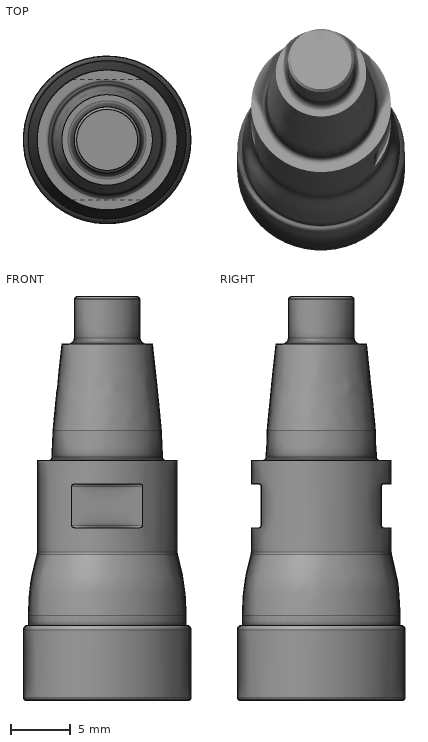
import cadquery as cq
import math

total_height = 33.8

cap_radius = 7.015
cap_height = 6.3
cap_top_round = 0.37
cap_bottom_round = 0.25

skirt_radius = 13.2 / 2
skirt_top_z = 7.1
dome_top_z = 12.2

barrel_radius = 11.7 / 2
barrel_bottom_z = 12.4
barrel_top_z = 20.08
dome_top_radius = barrel_radius + 0.05

neck_root_radius = 4.63
neck_root_fillet = 0.27
neck_break_radius = 4.53
neck_break_z = 22.58
neck_top_radius = 3.8
neck_top_z = 29.8
neck_bulge = 0.02

pin_radius = 5.5 / 2
pin_root_fillet = 0.5
pin_chamfer = 0.2

flat_distance = 5.05
flat_bottom_z = 14.43
flat_top_z = 18.1
flat_corner_fillet = 0.2

QUARTER_COS = math.cos(math.pi / 4)


def concave_fillet(profile, wall_radius, floor_z, fillet):
    """Round the inner corner from a floor at floor_z up to a wall of wall_radius."""
    inset = fillet * (1 - QUARTER_COS)
    return (
        profile.lineTo(wall_radius + fillet, floor_z)
        .threePointArc((wall_radius + inset, floor_z + inset), (wall_radius, floor_z + fillet))
    )


def make_cap():
    """Plain round cap with rounded rims."""
    cap = cq.Workplane("XY").circle(cap_radius).extrude(cap_height)
    cap = cap.faces(">Z").edges().fillet(cap_top_round)
    return cap.faces("<Z").edges().fillet(cap_bottom_round)


def make_turned_body():
    """Stepped body of revolution standing on the cap."""
    profile = cq.Workplane("XZ").moveTo(0, cap_height).lineTo(skirt_radius, cap_height)

    profile = profile.lineTo(skirt_radius, skirt_top_z)
    profile = profile.tangentArcPoint((dome_top_radius, dome_top_z), relative=False)
    profile = profile.lineTo(barrel_radius, barrel_bottom_z).lineTo(barrel_radius, barrel_top_z)

    profile = concave_fillet(profile, neck_root_radius, barrel_top_z, neck_root_fillet)
    profile = profile.lineTo(neck_break_radius, neck_break_z)
    neck_middle = (
        (neck_break_radius + neck_top_radius) / 2 + neck_bulge,
        (neck_break_z + neck_top_z) / 2,
    )
    profile = profile.threePointArc(neck_middle, (neck_top_radius, neck_top_z))

    profile = concave_fillet(profile, pin_radius, neck_top_z, pin_root_fillet)
    profile = profile.lineTo(pin_radius, total_height - pin_chamfer)
    profile = profile.lineTo(pin_radius - pin_chamfer, total_height)
    profile = profile.lineTo(0, total_height).close()
    return profile.revolve(360, (0, 0, 0), (0, 1, 0))


def make_flat_cutter(side):
    """Block that cuts one wrench flat; side is -1 or +1 along Y."""
    width = 2 * barrel_radius
    depth = barrel_radius
    height = flat_top_z - flat_bottom_z
    center = (0, side * (flat_distance + depth / 2), (flat_bottom_z + flat_top_z) / 2)
    block = cq.Workplane("XY").box(width, depth, height).translate(center)
    inner_face = "<Y" if side > 0 else ">Y"
    return block.faces(inner_face).edges("|X").fillet(flat_corner_fillet)


cap = make_cap()

body = make_turned_body()
for side in (-1, 1):
    body = body.cut(make_flat_cutter(side))

result = cq.Compound.makeCompound([cap.val(), body.val()])